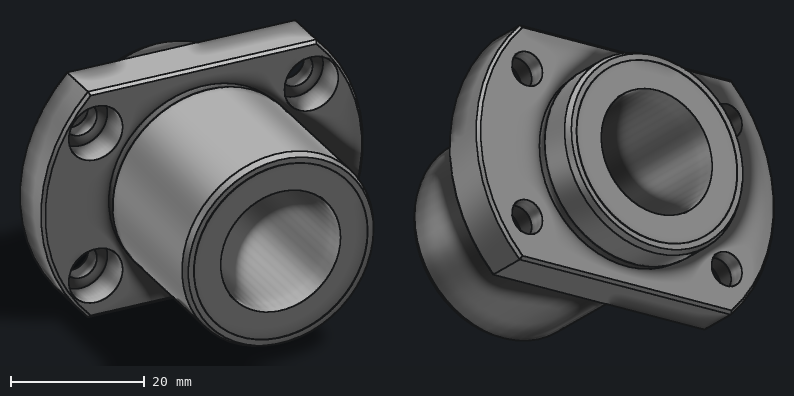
import cadquery as cq
import math


sleeve_length = 42.0
sleeve_diameter = 32.0
bore_diameter = 20.0
end_chamfer_length = 1.0
end_chamfer_height = 0.55

recess_diameter = 29.0
recess_depth = 0.1

flange_start = 8.0
flange_thickness = 8.0
flange_diameter = 53.8
flange_height = 38.0
flange_chamfer = 0.5

hole_spacing_y = 36.0
hole_spacing_z = 24.0
hole_diameter = 5.5
counterbore_diameter = 9.0
counterbore_depth = 5.1

groove_radius = 1.25
groove_depth = 0.45
groove_width = 1.65

sleeve_radius = sleeve_diameter / 2
flange_end = flange_start + flange_thickness


def cylinder_along_x(start, length, diameter):
    return cq.Workplane("YZ", origin=(start, 0, 0)).circle(diameter / 2).extrude(length)


def make_sleeve():
    """Solid sleeve with a long, shallow chamfer on both ends."""
    chamfer_radius = sleeve_radius - end_chamfer_height
    return (
        cq.Workplane("XY")
        .moveTo(0, 0)
        .lineTo(0, chamfer_radius)
        .lineTo(end_chamfer_length, sleeve_radius)
        .lineTo(sleeve_length - end_chamfer_length, sleeve_radius)
        .lineTo(sleeve_length, chamfer_radius)
        .lineTo(sleeve_length, 0)
        .close()
        .revolve(360, (0, 0, 0), (1, 0, 0))
    )


def make_groove(flange_face, direction):
    """Ring to cut beside a flange face; direction is the way along X that leads away from the flange."""
    center_radius = sleeve_radius - groove_depth + groove_radius
    half_opening = math.sqrt(groove_radius**2 - (groove_radius - groove_depth) ** 2)
    shoulder_x = flange_face + direction * groove_width
    center_x = shoulder_x - direction * half_opening
    wall_offset = flange_face - center_x
    wall_radius = center_radius - math.sqrt(groove_radius**2 - wall_offset**2)
    return (
        cq.Workplane("XY")
        .moveTo(shoulder_x, sleeve_radius)
        .threePointArc((center_x, center_radius - groove_radius), (flange_face, wall_radius))
        .lineTo(flange_face, sleeve_radius)
        .close()
        .revolve(360, (0, 0, 0), (1, 0, 0))
    )


def make_flange():
    """Disc with flats at top and bottom, chamfered around both faces."""
    disc = cylinder_along_x(flange_start, flange_thickness, flange_diameter)
    slab = cq.Workplane("XY").box(sleeve_length, flange_diameter, flange_height)
    slab = slab.translate((sleeve_length / 2, 0, 0))
    return disc.intersect(slab).faces("<X or >X").edges().chamfer(flange_chamfer)


def drill_mounting_holes(body):
    return (
        body.copyWorkplane(cq.Workplane("YZ", origin=(flange_end, 0, 0)))
        .rarray(hole_spacing_y, hole_spacing_z, 2, 2)
        .cboreHole(hole_diameter, counterbore_diameter, counterbore_depth, flange_thickness)
    )


flange = drill_mounting_holes(make_flange())
sleeve = make_sleeve()
sleeve = sleeve.cut(make_groove(flange_start, -1))
sleeve = sleeve.cut(make_groove(flange_end, 1))
bore = cylinder_along_x(0, sleeve_length, bore_diameter)

result = sleeve.union(flange).cut(bore)
for recess_start in (0, sleeve_length - recess_depth):
    result = result.cut(cylinder_along_x(recess_start, recess_depth, recess_diameter))